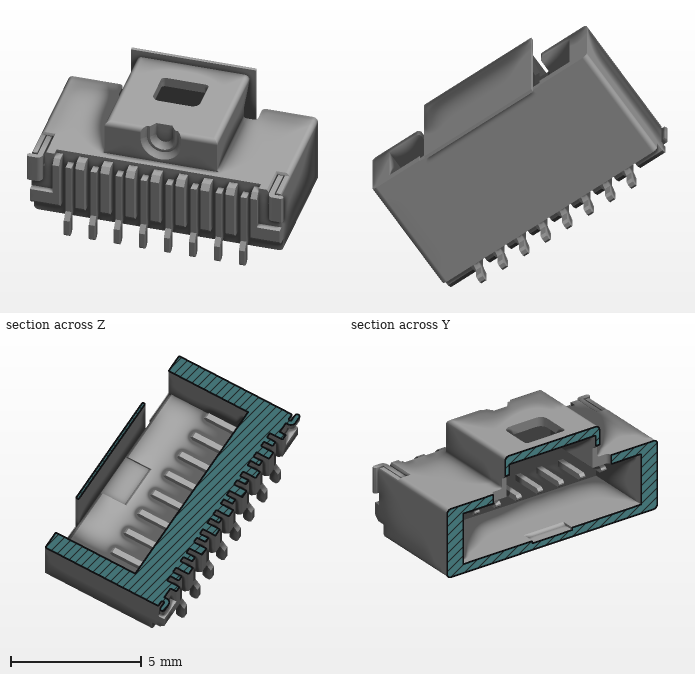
import cadquery as cq


housing_width = 9.99
housing_bottom = 0.61
housing_top = 3.6
housing_back = 5.41
housing_edge_radius = 0.2
rear_wall_front = 0.62
mating_cavity_front = 1.84
wall = 0.41
cavity_width = 8.4
floor_top = housing_bottom + wall
ceiling = housing_top - wall
floor_lead_in = 0.12
floor_setback = 0.03

pin_count = 8
pin_row_span = 7.0
pitch = pin_row_span / (pin_count - 1)
rib_width = 0.35
rib_front = 0.06
rib_bottom = 1.21
rib_top = 3.45
rib_bevel = 0.2

bay_half_width = 4.09
clip_recess_bottom = 1.94
clip_recess_back = 0.33

cover_width = 4.51
cover_front = 0.92
cover_top = 5.06
cover_edge_radius = 0.2
cover_foot_radius = 0.1
cover_side_wall = 0.22
cover_roof = 0.4
cover_cavity_top = cover_top - cover_roof
mouth_notch_front = 4.61
mouth_notch_width = 5.57
mouth_notch_radius = 0.15
side_notch_low = 4.04
side_notch_high = 4.81

window_width = 1.88
window_front = 2.85
window_back = 4.36
window_front_radius = 0.31
window_back_radius = 0.14
floor_recess_front = 4.21
floor_recess_depth = 0.1

funnel_height = 4.56
funnel_radius_outer = 0.81
funnel_radius_outer_end = 0.61
funnel_radius_inner = 0.5
funnel_radius_inner_end = 0.32
funnel_step = 1.15
funnel_end = 1.42

pin_width = 0.24
pin_top = 3.11
pin_front = 0.24
pin_thickness = 0.37
pin_bend_top = 1.04
pin_bend_bottom = 0.75
pin_back_bend_drop = 0.06
pin_tip_bevel = 0.1
blade_end = 3.32
blade_height = 0.25
blade_bevel = 0.09

clip_bottom = 2.4
clip_top = 3.51
clip_front = 0.02
clip_thickness = 0.2
clip_tip_x = 5.12
clip_tip_bevel = 0.06
clip_arm_outer = 4.73
clip_arm_back = 1.51
slot_outer = 4.78
slot_inner = 4.47
slot_bottom = 2.97
slot_back = 1.54
slot_bevel_side = 0.06
slot_bevel_back = 0.06

plate_width = 5.0
plate_thickness = 0.13
plate_bottom = 0.35
plate_top = 5.35


def block(x0, x1, y0, y1, z0, z1):
    return cq.Workplane("XY").box(x1 - x0, y1 - y0, z1 - z0, centered=False).translate((x0, y0, z0))


def side_prism(outline, x_center, width):
    """A (Y, Z) outline extruded along X, centred on x_center."""
    start = cq.Workplane("YZ").workplane(offset=x_center - width / 2)
    return start.polyline(outline).close().extrude(width)


def mirrored(shape):
    return shape.union(shape.mirror("YZ"))


def rib(x_center):
    outline = [
        (mating_cavity_front, rib_bottom),
        (rib_front + rib_bevel, rib_bottom),
        (rib_front, rib_bottom + rib_bevel),
        (rib_front, rib_top - rib_bevel),
        (rib_front + rib_bevel, rib_top),
        (mating_cavity_front, rib_top),
    ]
    return side_prism(outline, x_center, rib_width)


def shell():
    """Rounded block with a solid corner post at each end of its front, ribs between them."""
    envelope = (
        block(-housing_width / 2, housing_width / 2, rib_front, housing_back, housing_bottom, housing_top)
        .edges("|Y")
        .fillet(housing_edge_radius)
    )
    side_outline = [
        (housing_back, housing_bottom),
        (rear_wall_front, housing_bottom),
        (rear_wall_front, rib_bottom),
        (rib_front + rib_bevel, rib_bottom),
        (rib_front, rib_bottom + rib_bevel),
        (rib_front, housing_top),
        (housing_back, housing_top),
    ]
    body = side_prism(side_outline, 0, housing_width).intersect(envelope)
    body = body.cut(
        block(-bay_half_width, bay_half_width, 0, rear_wall_front, housing_bottom, housing_top)
    )
    for index in range(pin_count + 1):
        body = body.union(rib((index - pin_count / 2) * pitch))
    corner = block(bay_half_width, housing_width, 0, clip_recess_back, clip_recess_bottom, cover_top)
    return body.cut(mirrored(corner))


def latch_cover():
    half = cover_width / 2
    cover = (
        block(-half, half, cover_front, housing_back, ceiling, cover_top)
        .edges(">Z and (|Y or <Y)")
        .fillet(cover_edge_radius)
    )
    foot = (
        cq.Workplane("XZ", origin=(0, cover_front, 0))
        .moveTo(half, housing_top)
        .lineTo(half + cover_foot_radius, housing_top)
        .radiusArc((half, housing_top + cover_foot_radius), cover_foot_radius)
        .close()
        .extrude(cover_front - mouth_notch_front)
    )
    return cover.union(mirrored(foot))


def mating_cavity():
    main = block(
        -cavity_width / 2, cavity_width / 2, mating_cavity_front, housing_back, floor_top, ceiling
    )
    inner_half = cover_width / 2 - cover_side_wall
    under_cover = block(
        -inner_half, inner_half, mating_cavity_front, housing_back, floor_top, cover_cavity_top
    )
    lip = housing_back - floor_setback
    lead_in = side_prism(
        [(lip - floor_lead_in, floor_top), (lip, floor_top), (lip, floor_top - floor_lead_in)],
        0,
        cavity_width,
    )
    setback = block(
        -mouth_notch_width / 2, mouth_notch_width / 2, lip, housing_back, housing_bottom, floor_top
    )
    floor_recess = side_prism(
        [
            (floor_recess_front, floor_top),
            (floor_recess_front + floor_recess_depth, floor_top - floor_recess_depth),
            (housing_back, floor_top - floor_recess_depth),
            (housing_back, floor_top),
        ],
        0,
        window_width,
    )
    return main.union(under_cover).union(lead_in).union(setback).union(floor_recess)


def mouth_notch():
    """Opening at the back: through the housing roof, and slanted through the sides of the cover."""
    half = mouth_notch_width / 2
    radius = mouth_notch_radius
    roof_cut = (
        cq.Workplane("XY", origin=(0, 0, ceiling))
        .moveTo(0, mouth_notch_front)
        .lineTo(half - radius, mouth_notch_front)
        .radiusArc((half, mouth_notch_front + radius), -radius)
        .lineTo(half, housing_back - radius)
        .radiusArc((half + radius, housing_back), radius)
        .lineTo(0, housing_back)
        .close()
        .extrude(housing_top - ceiling)
    )
    slant = side_prism(
        [
            (mouth_notch_front, housing_top),
            (mouth_notch_front, side_notch_low),
            (housing_back, side_notch_high),
            (housing_back, housing_top),
        ],
        0,
        mouth_notch_width,
    )
    return mirrored(roof_cut).union(slant)


def window():
    return (
        block(
            -window_width / 2, window_width / 2, window_front, window_back, cover_cavity_top, cover_top
        )
        .edges("|Z and <Y")
        .fillet(window_front_radius)
        .edges("|Z and >Y")
        .fillet(window_back_radius)
    )


def funnel_stage(y_start, y_end, radius_start, radius_end):
    """Half cone below funnel_height, continued straight up through the top of the cover."""
    base = cq.Workplane("XY", origin=(0, 0, funnel_height))
    half_outline = [(0, y_start), (radius_start, y_start), (radius_end, y_end), (0, y_end)]
    cone = base.polyline(half_outline).close().revolve(360, (0, 0, 0), (0, 1, 0))
    riser = base.polyline(half_outline).close().extrude(cover_top - funnel_height)
    return cone.union(mirrored(riser))


def clip_slot():
    """Narrow slot for a clip arm, with a bevelled entry at the top."""
    slot = block(slot_inner, slot_outer, clip_recess_back, slot_back, slot_bottom, clip_top)
    entry_depth = housing_top - clip_top
    entry = (
        cq.Workplane("XY", origin=(0, 0, clip_top))
        .polyline([(slot_inner, 0), (clip_tip_x, 0), (clip_tip_x, slot_back), (slot_inner, slot_back)])
        .close()
        .workplane(offset=entry_depth)
        .polyline(
            [
                (slot_inner - slot_bevel_side, 0),
                (clip_tip_x, 0),
                (clip_tip_x, slot_back + slot_bevel_back),
                (slot_inner - slot_bevel_side, slot_back + slot_bevel_back),
            ]
        )
        .close()
        .loft(ruled=True)
    )
    return slot.union(entry)


def clip():
    """L-shaped strip: an arm along Y, seated in the slot, and a foot bent outward."""
    arm_inner = clip_arm_outer - clip_thickness
    foot_back = clip_front + clip_thickness
    foot_bevel_x = clip_tip_x - clip_tip_bevel
    return (
        cq.Workplane("XY", origin=(0, 0, clip_bottom))
        .moveTo(arm_inner, clip_arm_back)
        .lineTo(arm_inner, foot_back)
        .radiusArc((clip_arm_outer, clip_front), -clip_thickness)
        .lineTo(foot_bevel_x, clip_front)
        .lineTo(clip_tip_x, clip_front + clip_tip_bevel)
        .lineTo(clip_tip_x, foot_back - clip_tip_bevel)
        .lineTo(foot_bevel_x, foot_back)
        .lineTo(clip_arm_outer, foot_back)
        .lineTo(clip_arm_outer, clip_arm_back)
        .close()
        .extrude(clip_top - clip_bottom)
    )


def pin(x_center):
    """Cranked tail in front of the wall and a straight blade inside the cavity."""
    tail = side_prism(
        [
            (rear_wall_front, pin_top),
            (pin_front, pin_top),
            (pin_front, pin_bend_top),
            (0, pin_bend_bottom),
            (0, pin_tip_bevel),
            (pin_tip_bevel, 0),
            (pin_thickness - pin_tip_bevel, 0),
            (pin_thickness, pin_tip_bevel),
            (pin_thickness, pin_bend_bottom - pin_back_bend_drop),
            (rear_wall_front, pin_bend_top - pin_back_bend_drop),
        ],
        x_center,
        pin_width,
    )
    blade_low = (floor_top + ceiling - blade_height) / 2
    blade = block(
        x_center - pin_width / 2,
        x_center + pin_width / 2,
        mating_cavity_front,
        blade_end,
        blade_low,
        blade_low + blade_height,
    )
    return tail.union(blade.faces(">Y").edges("|X").chamfer(blade_bevel))


def connector():
    body = shell().union(latch_cover())
    body = body.cut(mating_cavity()).cut(mouth_notch()).cut(window())
    body = body.cut(funnel_stage(cover_front, funnel_step, funnel_radius_outer, funnel_radius_outer_end))
    body = body.cut(funnel_stage(funnel_step, funnel_end, funnel_radius_inner, funnel_radius_inner_end))
    body = body.cut(mirrored(clip_slot())).union(mirrored(clip()))
    for index in range(pin_count):
        body = body.union(pin(index * pitch - pin_row_span / 2))
    return body


def cover_plate():
    half = plate_width / 2
    return block(-half, half, housing_back, housing_back + plate_thickness, plate_bottom, plate_top)


housing = connector()
plate = cover_plate()

result = cq.Compound.makeCompound([housing.solids().val(), plate.val()])